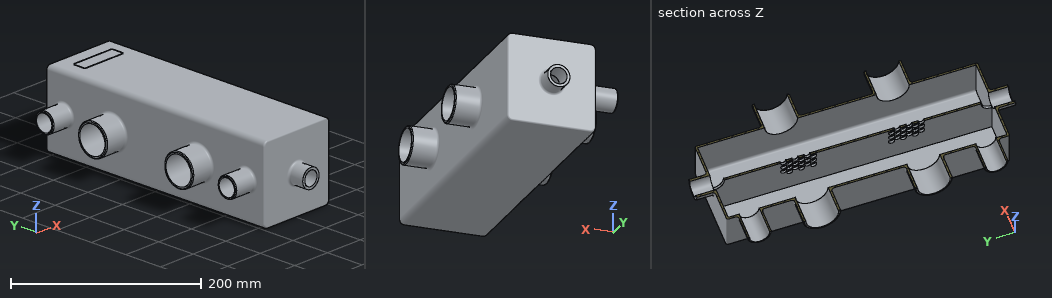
import cadquery as cq
import math

VESSEL_WIDTH = 100.0
VESSEL_LENGTH = 317.0
WALL = 3.0
CORNER_RADIUS = 6.0
END_EDGE_RADIUS = 2.0

OVERALL_X = 160.0
OVERALL_Y = 357.0
WELD_RADIUS = 3.0
TIP_BEVEL_LENGTH = 1.0

LARGE_OUTER, LARGE_BORE, LARGE_TIP = 42.0, 36.5, 40.0
SMALL_OUTER, SMALL_BORE, SMALL_TIP = 26.8, 22.0, 25.0
END_OUTER, END_BORE = 25.0, 18.5
LARGE_PORT_Y = 62.5
SMALL_PORT_Y = 132.5

PLATE_THICKNESS = 3.0
PLATE_NOTCH_DIAMETER = 24.0
HOLE_DIAMETER = 6.5
HOLE_WEB = 1.32
HOLE_PITCH = HOLE_DIAMETER + HOLE_WEB
COLUMN_PITCH = HOLE_PITCH * math.sqrt(3) / 2
OUTERMOST_COLUMN_Y = 77.0
COLUMNS_PER_PATCH = 6
ROWS_IN_EVEN_COLUMN = 5
ROWS_IN_ODD_COLUMN = 6

NAMEPLATE_LENGTH = 59.3
NAMEPLATE_WIDTH = 17.0
NAMEPLATE_THICKNESS = 0.7
NAMEPLATE_CORNER_RADIUS = 1.8
NAMEPLATE_Y = 129.5

HALF_WIDTH = VESSEL_WIDTH / 2
HALF_LENGTH = VESSEL_LENGTH / 2


def make_vessel():
    outside = (
        cq.Workplane("XY")
        .box(VESSEL_WIDTH, VESSEL_LENGTH, VESSEL_WIDTH)
        .edges("|Y").fillet(CORNER_RADIUS)
        .faces("<Y or >Y").edges().fillet(END_EDGE_RADIUS)
    )
    inside_width = VESSEL_WIDTH - 2 * WALL
    cavity = (
        cq.Workplane("XY")
        .box(inside_width, VESSEL_LENGTH - 2 * WALL, inside_width)
        .edges("|Y").fillet(CORNER_RADIUS - WALL)
    )
    return outside.cut(cavity)


def make_plate():
    """Dividing plate sunk halfway into the walls, perforated, with a round notch at each end port."""
    plate = cq.Workplane("XY").box(
        PLATE_THICKNESS, VESSEL_LENGTH - WALL, VESSEL_WIDTH - WALL
    )
    hole_centres = []
    for column in range(COLUMNS_PER_PATCH):
        y = OUTERMOST_COLUMN_Y - column * COLUMN_PITCH
        rows = ROWS_IN_EVEN_COLUMN if column % 2 == 0 else ROWS_IN_ODD_COLUMN
        for row in range(rows):
            z = (row - (rows - 1) / 2) * HOLE_PITCH
            hole_centres += [(y, z), (-y, z)]
    holes = (
        cq.Workplane("YZ")
        .pushPoints(hole_centres)
        .circle(HOLE_DIAMETER / 2)
        .extrude(PLATE_THICKNESS, both=True)
    )
    notches = (
        cq.Workplane("YZ")
        .pushPoints([(HALF_LENGTH - WALL, 0), (WALL - HALF_LENGTH, 0)])
        .circle(PLATE_NOTCH_DIAMETER / 2)
        .extrude(PLATE_THICKNESS, both=True)
    )
    return plate.cut(holes).cut(notches)


def make_pipe(outer, tip, wall_face, reach):
    """Solid pipe body along +X: weld flare at the wall face, bevelled rim at the reach."""
    radius = outer / 2
    bevel_start = reach - TIP_BEVEL_LENGTH if tip < outer else reach
    flare_radius = radius + WELD_RADIUS
    arc_offset = WELD_RADIUS * (1 - math.sqrt(0.5))
    profile = (
        cq.Workplane("XY")
        .moveTo(wall_face - WALL, 0)
        .lineTo(wall_face - WALL, flare_radius)
        .lineTo(wall_face, flare_radius)
        .threePointArc(
            (wall_face + arc_offset, radius + arc_offset),
            (wall_face + WELD_RADIUS, radius),
        )
        .lineTo(bevel_start, radius)
    )
    if tip < outer:
        profile = profile.lineTo(reach, tip / 2)
    return profile.lineTo(reach, 0).close().revolve(360, (0, 0, 0), (1, 0, 0))


def add_port(body, outer, bore, tip, wall_face, reach, direction, y):
    """Weld a pipe to the body; direction is its angle about Z, y the shift along the vessel."""
    bore_start = wall_face - 2 * WALL
    hole = cq.Workplane("YZ", origin=(bore_start, 0, 0)).circle(bore / 2).extrude(reach - bore_start)

    def place(shape):
        return shape.rotate((0, 0, 0), (0, 0, 1), direction).translate((0, y, 0))

    return body.union(place(make_pipe(outer, tip, wall_face, reach))).cut(place(hole))


def make_nameplate():
    return (
        cq.Workplane("XY", origin=(0, NAMEPLATE_Y, HALF_WIDTH - WALL / 2))
        .rect(NAMEPLATE_LENGTH, NAMEPLATE_WIDTH)
        .extrude(WALL / 2 + NAMEPLATE_THICKNESS)
        .edges("|Z").fillet(NAMEPLATE_CORNER_RADIUS)
    )


body = make_vessel()

TOWARD_PLUS_X, TOWARD_MINUS_X = 0, 180
TOWARD_PLUS_Y, TOWARD_MINUS_Y = 90, -90

for side in (-1, 1):
    for direction in (TOWARD_MINUS_X, TOWARD_PLUS_X):
        body = add_port(
            body, LARGE_OUTER, LARGE_BORE, LARGE_TIP,
            HALF_WIDTH, OVERALL_X / 2, direction, side * LARGE_PORT_Y,
        )
    body = add_port(
        body, SMALL_OUTER, SMALL_BORE, SMALL_TIP,
        HALF_WIDTH, OVERALL_X / 2, TOWARD_MINUS_X, side * SMALL_PORT_Y,
    )

for direction in (TOWARD_PLUS_Y, TOWARD_MINUS_Y):
    body = add_port(
        body, END_OUTER, END_BORE, END_OUTER, HALF_LENGTH, OVERALL_Y / 2, direction, 0
    )

result = body.union(make_plate()).union(make_nameplate())